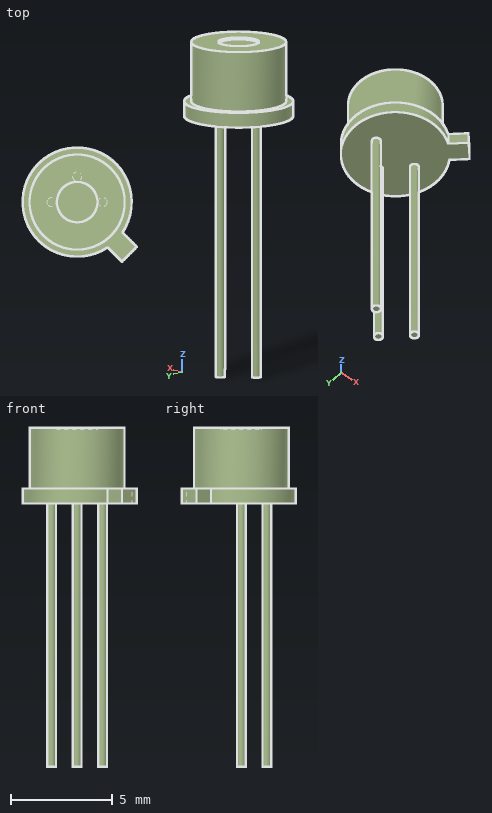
import cadquery as cq
import math

flange_diameter = 5.4
flange_thickness = 0.75

cap_diameter = 4.7
overall_height = 3.75
window_diameter = 2.0
window_depth = 0.1

tab_width = 1.05
tab_reach = 3.65
tab_angle = -45.0

lead_diameter = 0.45
lead_length = 13.0
lead_pitch_radius = 1.26
lead_angles = (0, 90, 180)


def make_flange():
    disc = cq.Workplane("XY").circle(flange_diameter / 2).extrude(flange_thickness)
    tab = (
        cq.Workplane("XY")
        .center(tab_reach / 2, 0)
        .rect(tab_reach, tab_width)
        .extrude(flange_thickness)
        .rotate((0, 0, 0), (0, 0, 1), tab_angle)
    )
    return disc.union(tab)


def make_cap():
    body = cq.Workplane("XY").circle(cap_diameter / 2).extrude(overall_height)
    window = (
        cq.Workplane("XY")
        .workplane(offset=overall_height - window_depth)
        .circle(window_diameter / 2)
        .extrude(window_depth)
    )
    return body.cut(window)


def make_leads():
    centers = []
    for angle in lead_angles:
        x = lead_pitch_radius * math.cos(math.radians(angle))
        y = lead_pitch_radius * math.sin(math.radians(angle))
        centers.append((x, y))
    return cq.Workplane("XY").pushPoints(centers).circle(lead_diameter / 2).extrude(-lead_length)


result = make_flange().union(make_cap()).union(make_leads())